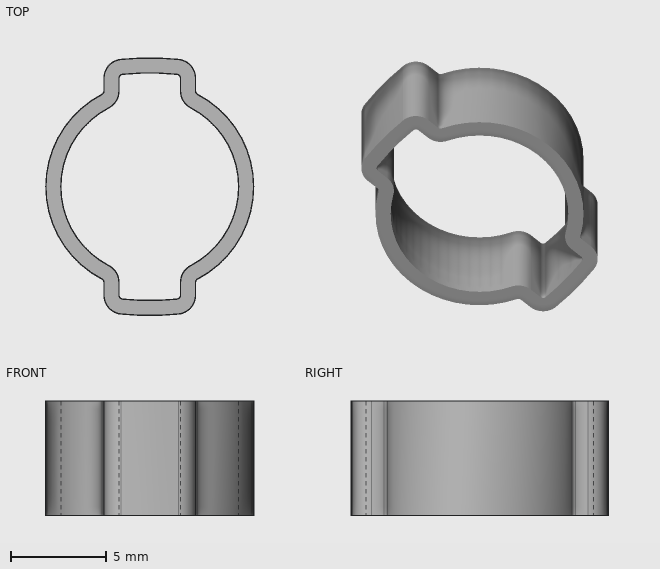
import cadquery as cq


band_height = 6.0
band_diameter = 10.89
ear_span = 13.49
ear_width = 4.8
ear_crown_radius = 14.84
ear_corner_radius = 1.0
ear_root_radius = 0.2
wall = 0.8

band_radius = band_diameter / 2
root_reach = ear_width / 2 + wall


def ear_pair(span, width, crown_radius):
    """Bar running through both ears, with its two ends slightly domed."""
    bar = cq.Workplane("XY").rect(width, span).extrude(band_height)
    for side in (1, -1):
        crown_center_y = side * (span / 2 - crown_radius)
        crown = cq.Workplane("XY").center(0, crown_center_y).circle(crown_radius).extrude(band_height)
        bar = bar.intersect(crown)
    return bar


def filled_clamp(inset):
    """Solid block inside the clamp's outer outline, moved inwards by inset."""
    ears = ear_pair(ear_span - 2 * inset, ear_width - 2 * inset, ear_crown_radius - inset)
    ears = ears.edges("|Z").fillet(ear_corner_radius - inset)

    band = cq.Workplane("XY").circle(band_radius - inset).extrude(band_height)
    block = band.union(ears)

    root_zone = cq.selectors.BoxSelector(
        (-root_reach, -band_radius, 0),
        (root_reach, band_radius, band_height),
    )
    return block.edges("|Z").edges(root_zone).fillet(ear_root_radius + inset)


result = filled_clamp(0).cut(filled_clamp(wall))